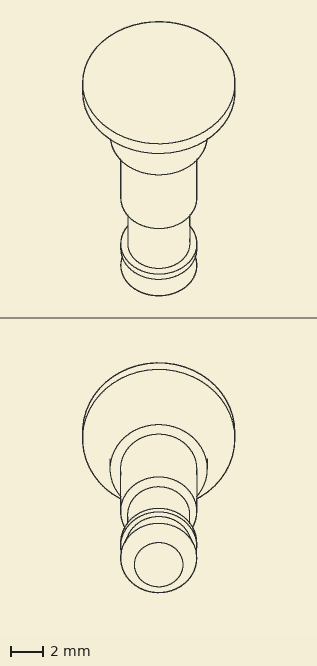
import cadquery as cq

total_length = 20.8
head_radius = 4.7
collar_radius = 3.0
shank_radius = 2.35
neck_radius = 1.91
barb_top_radius = 2.04
tip_radius = 1.5

tip_length = 1.0
barb_length = 1.7
ring_length = 0.55
neck_length = 4.2
shoulder_length = 0.5
shank_length = 6.4
collar_length = 1.5
flare_length = 3.0
rim_length = 1.0

barb_base = tip_length
ring_base = barb_base + barb_length
neck_base = ring_base + ring_length
shoulder_base = neck_base + neck_length
shank_base = shoulder_base + shoulder_length
collar_base = shank_base + shank_length
flare_base = collar_base + collar_length
rim_base = flare_base + flare_length
dome_base = rim_base + rim_length

flare_mid_radius = 3.43
flare_mid_height = flare_base + 1.7

dome_height = total_length - dome_base
sphere_radius = (head_radius**2 + dome_height**2) / (2 * dome_height)
dome_mid_radius = head_radius / 2
sphere_center = total_length - sphere_radius
dome_mid_height = sphere_center + (sphere_radius**2 - dome_mid_radius**2) ** 0.5

profile = (
    cq.Workplane("XZ")
    .moveTo(0, 0)
    .lineTo(tip_radius, 0)
    .lineTo(shank_radius, barb_base)
    .lineTo(barb_top_radius, ring_base)
    .lineTo(shank_radius, ring_base)
    .lineTo(shank_radius, neck_base)
    .lineTo(neck_radius, neck_base)
    .lineTo(neck_radius, shoulder_base)
    .lineTo(shank_radius, shank_base)
    .lineTo(shank_radius, collar_base)
    .lineTo(collar_radius, collar_base)
    .lineTo(collar_radius, flare_base)
    .threePointArc((flare_mid_radius, flare_mid_height), (head_radius, rim_base))
    .lineTo(head_radius, dome_base)
    .threePointArc((dome_mid_radius, dome_mid_height), (0, total_length))
    .close()
)

result = profile.revolve(360, (0, 0, 0), (0, 1, 0))